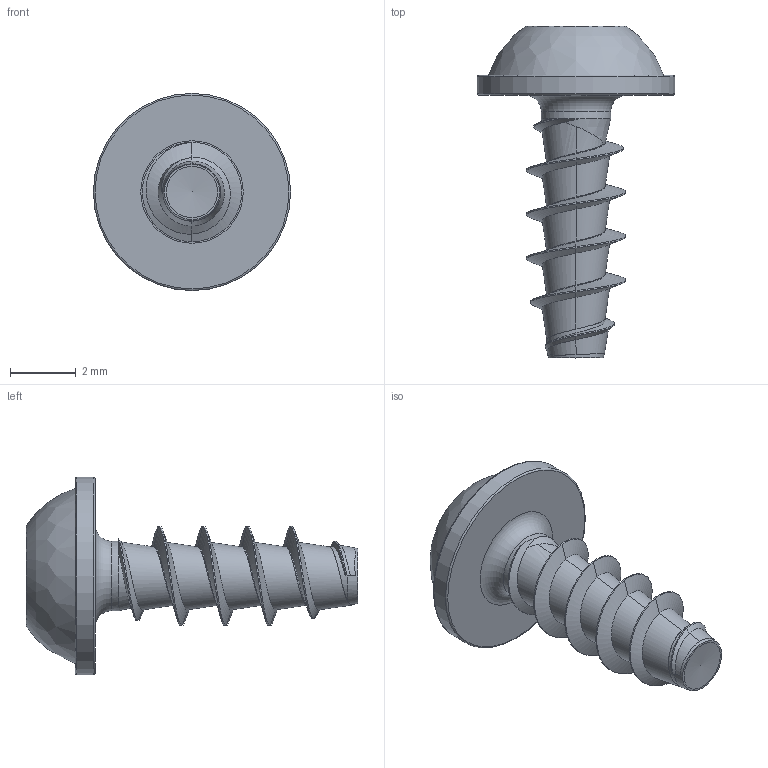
import math

import cadquery as cq


head_height = 2.1
flange_radius = 3.0
flange_thickness = 0.6
flange_edge_fillet = 0.05
dome_base_radius = 2.67
dome_top_radius = 1.52
dome_sphere_radius = 2.8

length = 8.0

neck_radius = 1.06
neck_fillet = 0.5
neck_end = 0.72

tip_radius = 0.84
tip_dish_radius = 0.78
tip_dish_depth = 0.05

pitch = 1.34
ridge_height_at_zero = 0.28
first_turn = -0.75
lead_start_turn = 0.25
lead_end_turn = 1.25
tail_start_turn = 4.25
floor_tail_turn = 4.75
last_turn = 5.5
turns_per_face = 0.5
points_per_face = 9

crest_radius = 1.51
crest_lead_radius = 1.2
crest_tail_radius = 0.935
crest_half_width = 0.02
base_half_width = 0.18
lead_base_half_width = 0.14
tail_base_half_width = 0.12
floor_large_radius = 1.03
core_radius = 0.885
floor_end_gap = 0.01
tail_floor_end_height = 0.3
tail_floor_sink = 0.02
root_radius = 0.8

lead_cone_end = 1.5
floor_slope = (floor_large_radius - core_radius) / (pitch - 2 * base_half_width)
tip_cone_start = length - (core_radius - tip_radius) / floor_slope


def revolved(points):
    """Solid of revolution about Z from (radius, height) points."""
    return cq.Workplane("XZ").polyline(points).close().revolve(360, (0, 0, 0), (0, 1, 0))


def make_head():
    """Flange with softened rims, and a dome with a flat top."""
    flange = cq.Workplane("XY").circle(flange_radius).extrude(-flange_thickness)
    flange = flange.edges().fillet(flange_edge_fillet)

    radius_drop = dome_base_radius - dome_top_radius
    dome_height = head_height - flange_thickness
    chord = math.hypot(radius_drop, dome_height)
    sagitta = dome_sphere_radius - math.sqrt(dome_sphere_radius**2 - (chord / 2) ** 2)
    arc_middle = (
        (dome_base_radius + dome_top_radius) / 2 + sagitta * dome_height / chord,
        -(flange_thickness + head_height) / 2 - sagitta * radius_drop / chord,
    )
    dome = (
        cq.Workplane("YZ")
        .moveTo(0, -flange_thickness)
        .lineTo(dome_base_radius, -flange_thickness)
        .threePointArc(arc_middle, (dome_top_radius, -head_height))
        .lineTo(0, -head_height)
        .close()
        .revolve(360, (0, 0, 0), (0, 1, 0))
    )
    return flange.union(dome)


def make_neck():
    """Short cylinder that flares into the bearing face with a concave fillet."""
    inset = neck_fillet * (1 - math.sqrt(0.5))
    return (
        cq.Workplane("YZ")
        .moveTo(0, 0)
        .lineTo(neck_radius + neck_fillet, 0)
        .threePointArc((neck_radius + inset, inset), (neck_radius, neck_fillet))
        .lineTo(neck_radius, neck_end)
        .lineTo(0, neck_end)
        .close()
        .revolve(360, (0, 0, 0), (0, 1, 0))
    )


def make_core():
    """Body inside the thread: lead cone below the neck, cylinder and tip cone."""
    return revolved(
        [
            (0, neck_end),
            (neck_radius, neck_end),
            (core_radius, lead_cone_end),
            (core_radius, tip_cone_start),
            (tip_radius, length),
            (0, length),
        ]
    )


def interpolate(value, start, end, start_result, end_result):
    """Linear change from start_result to end_result, constant outside start..end."""
    share = min(max((value - start) / (end - start), 0), 1)
    return start_result + share * (end_result - start_result)


def ridge_height(turn):
    """Height of the ridge centre."""
    return ridge_height_at_zero + pitch * turn


def along_thread(turn, lead_value, full_value, tail_value):
    """Value that grows over the lead-in, stays constant, and fades over the tail."""
    if turn < tail_start_turn:
        return interpolate(turn, lead_start_turn, lead_end_turn, lead_value, full_value)
    return interpolate(turn, tail_start_turn, last_turn, full_value, tail_value)


def ridge_section(turn):
    """Radius and height, relative to the ridge centre, of each corner of the thread section."""
    crest = along_thread(turn, crest_lead_radius, crest_radius, crest_tail_radius)
    base = along_thread(turn, lead_base_half_width, base_half_width, tail_base_half_width)
    full_floor_end = pitch - base_half_width - floor_end_gap
    floor_end_height = interpolate(
        turn, floor_tail_turn, last_turn, full_floor_end, tail_floor_end_height
    )
    floor_drop = max(turn - floor_tail_turn, 0) * pitch * floor_slope
    floor_apex = floor_large_radius + floor_slope * base_half_width - floor_drop
    sink = interpolate(turn, floor_tail_turn, last_turn, 0, tail_floor_sink)
    root = root_radius - floor_drop
    return [
        (root, -base),
        (crest, -crest_half_width),
        (crest, crest_half_width),
        (floor_apex - floor_slope * base, base),
        (floor_apex - floor_slope * floor_end_height - sink, floor_end_height),
        (root, floor_end_height),
    ]


def corner_point(turn, corner):
    """Position in space of one section corner."""
    radius, height = ridge_section(turn)[corner]
    angle = 2 * math.pi * turn
    return cq.Vector(radius * math.cos(angle), radius * math.sin(angle), ridge_height(turn) + height)


def make_thread():
    """Ridge and floor of the thread, as ruled faces between the helical corner curves."""
    corners = range(len(ridge_section(first_turn)))
    faces = []
    start = first_turn
    while start < last_turn:
        end = min(start + turns_per_face, last_turn)
        step = (end - start) / (points_per_face - 1)
        turns = [start + i * step for i in range(points_per_face)]
        curves = [cq.Edge.makeSpline([corner_point(turn, c) for turn in turns]) for c in corners]
        faces += [cq.Face.makeRuledSurface(curves[c - 1], curves[c]) for c in corners]
        start = end
    for turn in (first_turn, last_turn):
        outline = cq.Wire.makePolygon([corner_point(turn, c) for c in corners], close=True)
        faces.append(cq.Face.makeFromWires(outline))
    return cq.Workplane(cq.Solid.makeSolid(cq.Shell.makeShell(faces)))


def make_shank():
    """Core with its thread, which starts at the end of the neck."""
    trim = cq.Workplane("XY", origin=(0, 0, neck_end)).circle(flange_radius).extrude(length - neck_end)
    return make_core().union(make_thread().intersect(trim))


def make_tip_dish():
    """Shallow conical hollow in the tip face."""
    return revolved([(0, length), (tip_dish_radius, length), (0, length - tip_dish_depth)])


screw = make_head().union(make_neck()).union(make_shank()).cut(make_tip_dish())
result = screw.rotate((0, 0, 0), (1, 0, 0), 90)